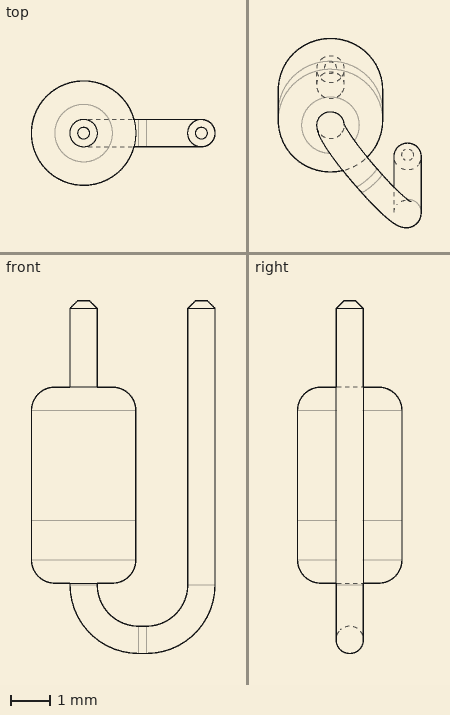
import cadquery as cq

body_diameter = 2.667
body_length = 5.0
body_edge_radius = 0.6
seam_height = 1.6

lead_diameter = 0.7
lead_pitch = 3.0
lead_tip_chamfer = 0.2
lead_rise = 2.2

bend_radius = 1.4
bend_straight = lead_pitch - 2 * bend_radius
bend_start_drop = 0.04

tip_height = body_length + lead_rise
bend_height = -bend_start_drop


def make_body():
    """Lower and upper cylinder sections, each rounded at its outer end."""
    lower = cq.Workplane("XY").circle(body_diameter / 2).extrude(seam_height)
    lower = lower.faces("<Z").edges().fillet(body_edge_radius)
    upper = (
        cq.Workplane("XY", origin=(0, 0, seam_height))
        .circle(body_diameter / 2)
        .extrude(body_length - seam_height)
    )
    upper = upper.faces(">Z").edges().fillet(body_edge_radius)
    return lower.union(upper, clean=False)


def make_straight_lead(x, bottom):
    """Vertical wire from the given height up to a chamfered tip."""
    lead = (
        cq.Workplane("XY", origin=(x, 0, bottom))
        .circle(lead_diameter / 2)
        .extrude(tip_height - bottom)
    )
    return lead.faces(">Z").edges().chamfer(lead_tip_chamfer)


def make_return_bend():
    """U-shaped wire from inside the body to the foot of the return lead."""
    bend_bottom = bend_height - bend_radius
    start_height = body_length / 2
    path = (
        cq.Workplane("XZ")
        .moveTo(0, start_height)
        .lineTo(0, bend_height)
        .tangentArcPoint((bend_radius, bend_bottom), relative=False)
        .lineTo(bend_radius + bend_straight, bend_bottom)
        .tangentArcPoint((lead_pitch, bend_height), relative=False)
    )
    profile = cq.Workplane("XY", origin=(0, 0, start_height)).circle(lead_diameter / 2)
    return profile.sweep(path)


top_lead = make_straight_lead(0, body_length / 2)
return_lead = make_straight_lead(lead_pitch, bend_height)
result = make_body()
for lead_part in (top_lead, make_return_bend(), return_lead):
    result = result.union(lead_part, clean=False)